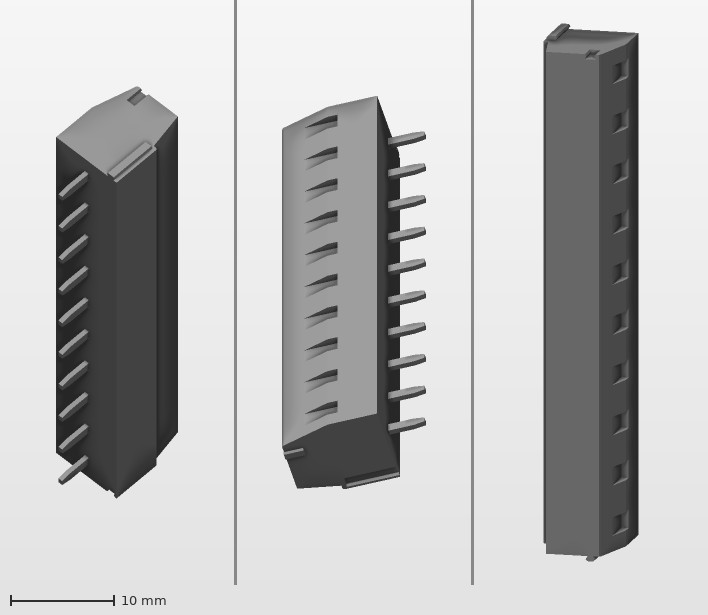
import cadquery as cq

pole_count = 10
pole_pitch = 5.0
body_height = pole_count * pole_pitch
body_width = 8.1
body_depth = 10.0

left_bend_y = 5.0
back_left_x = 1.35
back_right_x = 6.8
ledge_y = 5.75
ledge_width = 0.5
edge_bevel = 0.15

window_front_y = 4.0
window_back_y = 7.6
window_height = 1.85

pin_x = 4.1
pin_length = 3.65
pin_thickness = 0.5
pin_height = 1.0
pin_tip_height = 0.6
pin_taper_length = 1.05
pin_slot_height = 1.2
pin_slot_depth = 0.5

joint_height = 0.5
dovetail_flare = 0.2
rail_tip_bevel_width = 0.15
rail_tip_bevel_height = 0.2
groove_lead_in_width = 0.15
groove_lead_in_depth = 0.2
long_joint_x = 7.35
long_joint_width = 1.05
long_joint_length = 5.3
short_joint_x = 2.35
short_groove_width = 1.05
short_rail_width = 0.9
short_joint_length = 2.0


def make_body():
    outline = [
        (0, 0),
        (body_width, 0),
        (body_width, ledge_y - edge_bevel),
        (body_width - edge_bevel, ledge_y),
        (body_width - ledge_width, ledge_y),
        (back_right_x, body_depth),
        (back_left_x + edge_bevel, body_depth),
        (back_left_x, body_depth - edge_bevel),
        (0, left_bend_y),
    ]
    return cq.Workplane("XY").polyline(outline).close().extrude(body_height)


def make_window(center_z):
    """Pocket whose flat floor meets the leaning side at the window's back edge."""
    lean = back_left_x / (body_depth - edge_bevel - left_bend_y)
    floor_x = (window_back_y - left_bend_y) * lean
    length = window_back_y - window_front_y
    return (
        cq.Workplane("XY")
        .box(floor_x, length, window_height, centered=(False, False, True))
        .translate((0, window_front_y, center_z))
    )


def make_pin_slot(center_z):
    """Shallow slot in the front face, as thick as the pin but taller than it."""
    return (
        cq.Workplane("XY")
        .box(pin_thickness, pin_slot_depth, pin_slot_height, centered=(True, False, True))
        .translate((pin_x, 0, center_z))
    )


def make_pin(center_z):
    """Flat pin with a tapered tip, standing on the floor of its slot."""
    taper_start_y = pin_taper_length - pin_length
    outline = [
        (pin_slot_depth, -pin_height / 2),
        (pin_slot_depth, pin_height / 2),
        (taper_start_y, pin_height / 2),
        (-pin_length, pin_tip_height / 2),
        (-pin_length, -pin_tip_height / 2),
        (taper_start_y, -pin_height / 2),
    ]
    return (
        cq.Workplane("YZ")
        .polyline(outline)
        .close()
        .extrude(pin_thickness / 2, both=True)
        .translate((pin_x, 0, center_z))
    )


def make_joint_bar(center_x, start_y, length, levels):
    """Bar along Y, symmetric about center_x, through (half width, z) levels."""
    right_side = [(center_x + half, z) for half, z in levels]
    left_side = [(center_x - half, z) for half, z in reversed(levels)]
    bar = cq.Workplane("XZ").polyline(right_side + left_side).close().extrude(-length)
    return bar.translate((0, start_y, 0))


def make_rail(center_x, width, start_y, length, root_z, outward):
    """Dovetail rail with a bevelled tip, rising along Z (outward is +1 or -1)."""
    wide_half = width / 2
    levels = [
        (wide_half - dovetail_flare, root_z),
        (wide_half, root_z + outward * (joint_height - rail_tip_bevel_height)),
        (wide_half - rail_tip_bevel_width, root_z + outward * joint_height),
    ]
    return make_joint_bar(center_x, start_y, length, levels)


def make_groove(center_x, width, start_y, length, mouth_z, inward):
    """Groove with a bevelled lead-in to a waist, then undercut down to its floor."""
    wide_half = width / 2
    levels = [
        (wide_half, mouth_z),
        (wide_half - groove_lead_in_width, mouth_z + inward * groove_lead_in_depth),
        (wide_half, mouth_z + inward * joint_height),
    ]
    return make_joint_bar(center_x, start_y, length, levels)


result = make_body()

for pole in range(pole_count):
    pole_z = (pole + 0.5) * pole_pitch
    result = result.cut(make_window(pole_z)).cut(make_pin_slot(pole_z)).union(make_pin(pole_z))

long_joint = (long_joint_x, long_joint_width, 0, long_joint_length)
result = result.union(make_rail(*long_joint, body_height, 1))
result = result.cut(make_groove(*long_joint, 0, 1))

short_joint_run = (body_depth - short_joint_length, short_joint_length)
result = result.cut(make_groove(short_joint_x, short_groove_width, *short_joint_run, body_height, -1))
result = result.union(make_rail(short_joint_x, short_rail_width, *short_joint_run, 0, -1))